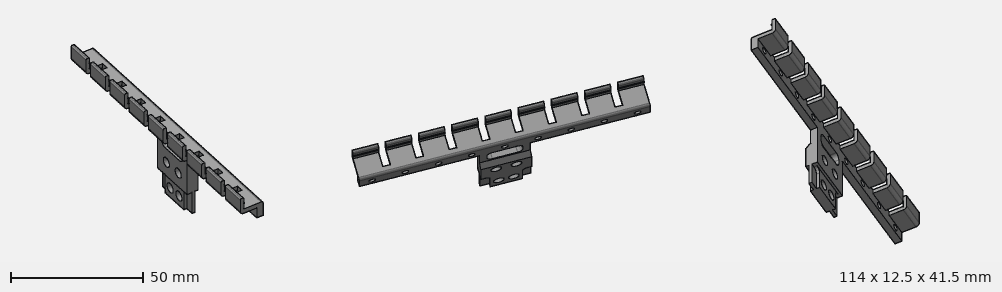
import cadquery as cq
import math

LENGTH = 114.0
DEPTH = 12.5
HEIGHT = 41.5

CLIP_COUNT = 9
CLIP_WIDTH = 10.0
CLIP_THICKNESS = 1.6
CLIP_PITCH = (LENGTH - CLIP_WIDTH) / (CLIP_COUNT - 1)
CLIP_TOP_RADIUS = 0.5
CLIP_HEEL_RADIUS = 1.5

RIDGE_RADIUS = 0.28
RIDGE_Z = HEIGHT - 2.6

PLATE_THICKNESS = 3.0
SHELF_THICKNESS = 2.0
SHELF_TOP = HEIGHT - 5.5
SHELF_BOTTOM = SHELF_TOP - SHELF_THICKNESS
BAR_BOTTOM = HEIGHT - 12.3
BAR_BACK_RADIUS = 1.0
BAR_HOLE_DIAMETER = 2.5
BAR_HOLE_Z = HEIGHT - 9.5

BLOCK_WIDTH = 20.0
BACK_STEP = 2.0
PLATE_BACK = -BACK_STEP
PLATE_FRONT = PLATE_BACK - PLATE_THICKNESS
RAMP_BOTTOM = HEIGHT - 21.5
RAMP_TOP = RAMP_BOTTOM + BACK_STEP
BLOCK_HOLE_DIAMETER = 4.1
BLOCK_HOLE_SPACING = 8.0
BLOCK_HOLE_Z = HEIGHT - 25.0

WINDOW_WIDTH = 14.0
WINDOW_HEIGHT = 6.2
WINDOW_RADIUS = 2.0

TAIL_HEIGHT = 10.0
TAIL_THICKNESS = 4.0
CORE_WIDTH = 12.7
FIN_THICKNESS = TAIL_THICKNESS / 3
CORE_ROOT_RADIUS = 2.0
TAIL_HOLE_SPACING = 5.9
TAIL_HOLE_Z = HEIGHT - 37.0


def extrude_along_x(outline, width):
    """Extrude a closed YZ outline by width, centred on X = 0."""
    return outline.extrude(width / 2, both=True)


def row_positions(count):
    """X positions of count places at the clip pitch, centred on X = 0."""
    return [(i - (count - 1) / 2) * CLIP_PITCH for i in range(count)]


def drill(body, diameter, centres):
    """Drill holes right through in Y at the given (x, z) centres."""
    holes = (
        cq.Workplane("XZ", origin=(0, DEPTH, 0))
        .pushPoints(centres)
        .circle(diameter / 2)
        .extrude(3 * DEPTH)
    )
    return body.cut(holes)


def pair(spacing, z):
    """Centres of two holes placed evenly about X = 0."""
    return [(-spacing / 2, z), (spacing / 2, z)]


def make_bar():
    """Upright plate, shelf and upturned ridged lip, cut into separate clips."""
    lip_back = -DEPTH + CLIP_THICKNESS
    outline = (
        cq.Workplane("YZ")
        .moveTo(PLATE_BACK, BAR_BOTTOM)
        .lineTo(PLATE_BACK, SHELF_TOP)
        .lineTo(lip_back, SHELF_TOP)
        .lineTo(lip_back, RIDGE_Z - RIDGE_RADIUS)
        .threePointArc((lip_back + RIDGE_RADIUS, RIDGE_Z), (lip_back, RIDGE_Z + RIDGE_RADIUS))
        .lineTo(lip_back, HEIGHT)
        .lineTo(-DEPTH, HEIGHT)
        .lineTo(-DEPTH, SHELF_BOTTOM)
        .lineTo(PLATE_FRONT, SHELF_BOTTOM)
        .lineTo(PLATE_FRONT, BAR_BOTTOM)
        .close()
    )
    bar = extrude_along_x(outline, LENGTH)
    bar = bar.edges("|X and >Z").fillet(CLIP_TOP_RADIUS)
    heel = cq.selectors.NearestToPointSelector((0, -DEPTH, SHELF_BOTTOM))
    bar = bar.edges(heel).fillet(CLIP_HEEL_RADIUS)
    back_corner = cq.selectors.NearestToPointSelector((0, PLATE_BACK, SHELF_TOP))
    bar = bar.edges(back_corner).fillet(BAR_BACK_RADIUS)

    gap_width = CLIP_PITCH - CLIP_WIDTH
    gap_depth = DEPTH + PLATE_FRONT
    gap_centres = [(x, -DEPTH) for x in row_positions(CLIP_COUNT - 1)]
    gaps = (
        cq.Workplane("XY")
        .pushPoints(gap_centres)
        .rect(gap_width, 2 * gap_depth)
        .extrude(HEIGHT)
    )
    return bar.cut(gaps)


def make_block():
    """Block that thickens towards the back below a sloped step."""
    outline = (
        cq.Workplane("YZ")
        .moveTo(PLATE_FRONT, BAR_BOTTOM)
        .lineTo(PLATE_FRONT, TAIL_HEIGHT)
        .lineTo(0, TAIL_HEIGHT)
        .lineTo(0, RAMP_BOTTOM)
        .lineTo(PLATE_BACK, RAMP_TOP)
        .lineTo(PLATE_BACK, BAR_BOTTOM)
        .close()
    )
    return extrude_along_x(outline, BLOCK_WIDTH)


def make_tail():
    """Core that flares into the block, with a fin in the middle of its thickness."""
    half_core = CORE_WIDTH / 2
    half_root = half_core + CORE_ROOT_RADIUS
    flare_bottom = TAIL_HEIGHT - CORE_ROOT_RADIUS
    arc_offset = CORE_ROOT_RADIUS * math.sqrt(0.5)
    arc_x = half_root - arc_offset
    arc_z = flare_bottom + arc_offset
    core = (
        cq.Workplane("XZ")
        .moveTo(-half_core, 0)
        .lineTo(half_core, 0)
        .lineTo(half_core, flare_bottom)
        .threePointArc((arc_x, arc_z), (half_root, TAIL_HEIGHT))
        .lineTo(-half_root, TAIL_HEIGHT)
        .threePointArc((-arc_x, arc_z), (-half_core, flare_bottom))
        .close()
        .extrude(TAIL_THICKNESS)
    )
    fin = (
        cq.Workplane("XY")
        .box(BLOCK_WIDTH, FIN_THICKNESS, TAIL_HEIGHT, centered=(True, True, False))
        .translate((0, -TAIL_THICKNESS / 2, 0))
    )
    return core.union(fin)


def cut_window(body):
    """Cut the rounded window through the plate, its top level with the bar's underside."""
    window = (
        cq.Workplane("XY")
        .box(WINDOW_WIDTH, 2 * DEPTH, WINDOW_HEIGHT)
        .edges("|Y")
        .fillet(WINDOW_RADIUS)
        .translate((0, 0, BAR_BOTTOM - WINDOW_HEIGHT / 2))
    )
    return body.cut(window)


bar_holes = [(x, BAR_HOLE_Z) for x in row_positions(CLIP_COUNT)]

result = make_bar().union(make_block()).union(make_tail())
result = cut_window(result)
result = drill(result, BAR_HOLE_DIAMETER, bar_holes)
result = drill(result, BLOCK_HOLE_DIAMETER, pair(BLOCK_HOLE_SPACING, BLOCK_HOLE_Z))
result = drill(result, BLOCK_HOLE_DIAMETER, pair(TAIL_HOLE_SPACING, TAIL_HOLE_Z))